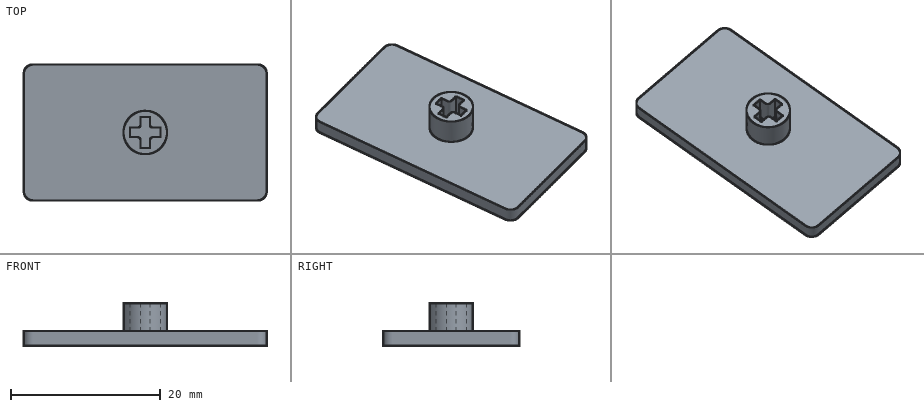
import cadquery as cq

plate_length = 32.5
plate_width = 18.2
plate_thickness = 1.98
corner_radius = 1.25

total_height = 5.7
boss_diameter = 5.8
boss_height = total_height - plate_thickness

cross_span = 4.1
cross_arm_width = 1.27
inner_corner_radius = 0.4


def make_plate():
    plate = cq.Workplane("XY").box(
        plate_length, plate_width, plate_thickness, centered=(True, True, False)
    )
    return plate.edges("|Z").fillet(corner_radius)


def make_boss():
    boss_base = cq.Workplane("XY").workplane(offset=plate_thickness)
    return boss_base.circle(boss_diameter / 2).extrude(boss_height)


def make_cross_socket():
    socket_base = cq.Workplane("XY").workplane(offset=plate_thickness)
    arm_along_x = socket_base.rect(cross_span, cross_arm_width).extrude(boss_height)
    arm_along_y = socket_base.rect(cross_arm_width, cross_span).extrude(boss_height)
    cross = arm_along_x.union(arm_along_y)
    meeting_edges = cq.selectors.BoxSelector(
        (-cross_arm_width, -cross_arm_width, 0),
        (cross_arm_width, cross_arm_width, total_height),
    )
    return cross.edges("|Z").edges(meeting_edges).fillet(inner_corner_radius)


result = make_plate().union(make_boss()).cut(make_cross_socket())